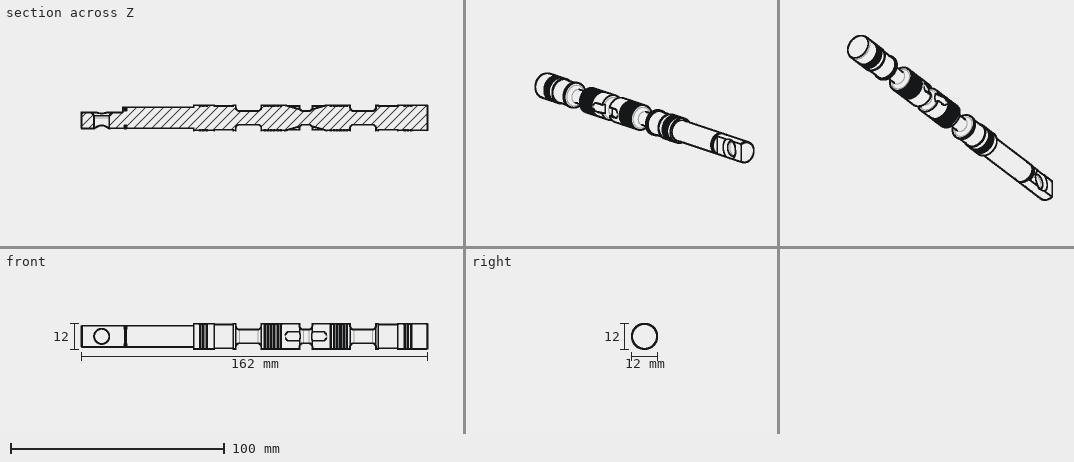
import cadquery as cq
import math

TOTAL_LENGTH = 162.0
LAND_DIAMETER = 12.0
SHANK_DIAMETER = 10.0
NECK_DIAMETER = 6.5
RELIEF_DIAMETER = 11.2

FLAT_END = 19.25
FLAT_OFFSET = 2.6
TANG_END_CHAMFER = 0.3
CROSS_HOLE_DIAMETER = 7.0
CROSS_HOLE_X = 9.5
CROSS_HOLE_CHAMFER = 1.5

RING_GROOVE_START = 20.25
RING_GROOVE_WIDTH = 0.75
RING_GROOVE_DIAMETER = 7.0

SHANK_LAND = (52.5, 72.25)
LEFT_LAND = (84.1, 102.05)
RIGHT_LAND = (108.0, 125.7)
END_LAND = (137.75, TOTAL_LENGTH)

RELIEFS = [(62.2, 71.0), (138.9, 148.0)]

NECK_FILLET = 1.7
END_CHAMFER_LENGTH = 0.8
END_CHAMFER_DEPTH = 0.25

BALANCE_GROOVE_WIDTH = 0.5
BALANCE_GROOVE_DIAMETER = 11.2
BALANCE_GROOVE_PITCH = 1.5
BALANCE_GROOVE_SETS = [(55.6, 3), (85.8, 6), (116.7, 6), (151.2, 3)]

NOTCH_WIDTH = 4.13
NOTCH_LENGTH = 6.8
NOTCH_ANGLE = 16.0


def cylinder(start, end, diameter):
    return cq.Workplane("YZ", origin=(start, 0, 0)).circle(diameter / 2).extrude(end - start)


def ring(start, end, inner_diameter):
    """Ring-shaped cutter that turns the part down to inner_diameter."""
    outer_radius = LAND_DIAMETER
    profile = cq.Workplane("YZ", origin=(start, 0, 0)).circle(outer_radius).circle(inner_diameter / 2)
    return profile.extrude(end - start)


def neck(start, end):
    """Neck between two land faces, flaring through a concave fillet at both ends."""
    radius = NECK_DIAMETER / 2
    flare = radius + NECK_FILLET
    diagonal = NECK_FILLET * (1 - math.sqrt(0.5))
    profile = (
        cq.Workplane("XY")
        .moveTo(start, 0)
        .lineTo(start, flare)
        .threePointArc((start + diagonal, radius + diagonal), (start + NECK_FILLET, radius))
        .lineTo(end - NECK_FILLET, radius)
        .threePointArc((end - diagonal, radius + diagonal), (end, flare))
        .lineTo(end, 0)
        .close()
    )
    return profile.revolve(360, (0, 0, 0), (1, 0, 0))


def turned_blank():
    body = cylinder(0, SHANK_LAND[0], SHANK_DIAMETER).faces("<X").chamfer(TANG_END_CHAMFER)
    lands = [SHANK_LAND, LEFT_LAND, RIGHT_LAND, END_LAND]
    for start, end in lands:
        body = body.union(cylinder(start, end, LAND_DIAMETER))
    for land, next_land in zip(lands, lands[1:]):
        body = body.union(neck(land[1], next_land[0]))
    return body


def cut_turned_grooves(body):
    body = body.cut(ring(RING_GROOVE_START, RING_GROOVE_START + RING_GROOVE_WIDTH, RING_GROOVE_DIAMETER))
    for start, end in RELIEFS:
        body = body.cut(ring(start, end, RELIEF_DIAMETER))
    for first, count in BALANCE_GROOVE_SETS:
        for index in range(count):
            start = first + index * BALANCE_GROOVE_PITCH - BALANCE_GROOVE_WIDTH / 2
            body = body.cut(ring(start, start + BALANCE_GROOVE_WIDTH, BALANCE_GROOVE_DIAMETER))
    return body


def chamfer_plain_end(body):
    radius = LAND_DIAMETER / 2
    corner = (
        cq.Workplane("XY")
        .moveTo(TOTAL_LENGTH - END_CHAMFER_LENGTH, radius)
        .lineTo(TOTAL_LENGTH, radius)
        .lineTo(TOTAL_LENGTH, radius - END_CHAMFER_DEPTH)
        .close()
    )
    return body.cut(corner.revolve(360, (0, 0, 0), (1, 0, 0)))


def cut_tang(body):
    flat_depth = SHANK_DIAMETER / 2 - FLAT_OFFSET
    flat = cq.Workplane("XY").box(FLAT_END, flat_depth, SHANK_DIAMETER, centered=(False, False, True))
    hole = (
        cq.Workplane("XZ", origin=(CROSS_HOLE_X, 0, 0))
        .circle(CROSS_HOLE_DIAMETER / 2)
        .extrude(SHANK_DIAMETER / 2, both=True)
    )
    hole_radius = CROSS_HOLE_DIAMETER / 2
    countersink = (
        cq.Workplane("XY")
        .moveTo(0, FLAT_OFFSET)
        .lineTo(hole_radius + CROSS_HOLE_CHAMFER, FLAT_OFFSET)
        .lineTo(hole_radius, FLAT_OFFSET - CROSS_HOLE_CHAMFER)
        .lineTo(0, FLAT_OFFSET - CROSS_HOLE_CHAMFER)
        .close()
        .revolve(360, (0, 0, 0), (0, 1, 0))
        .translate((CROSS_HOLE_X, 0, 0))
    )
    return body.cut(flat.translate((0, FLAT_OFFSET, 0))).cut(hole).cut(countersink)


def notch(land_face, toward_land, side):
    """Wedge whose floor rises from the neck fillet, past the land face, to the land surface.

    toward_land is the X direction from the face into the land, side the Y direction.
    """
    radius = LAND_DIAMETER / 2
    tip = land_face + toward_land * NOTCH_LENGTH
    mouth = land_face - toward_land * NECK_FILLET
    depth = abs(tip - mouth) * math.tan(math.radians(NOTCH_ANGLE))
    wedge = (
        cq.Workplane("XY")
        .moveTo(mouth, side * radius)
        .lineTo(mouth, side * (radius - depth))
        .lineTo(tip, side * radius)
        .close()
    )
    return wedge.extrude(NOTCH_WIDTH / 2, both=True)


def cut_metering_notches(body):
    for side in (-1, 1):
        body = body.cut(notch(LEFT_LAND[1], -1, side))
        body = body.cut(notch(RIGHT_LAND[0], 1, side))
    return body


result = turned_blank()
result = cut_turned_grooves(result)
result = chamfer_plain_end(result)
result = cut_tang(result)
result = cut_metering_notches(result)